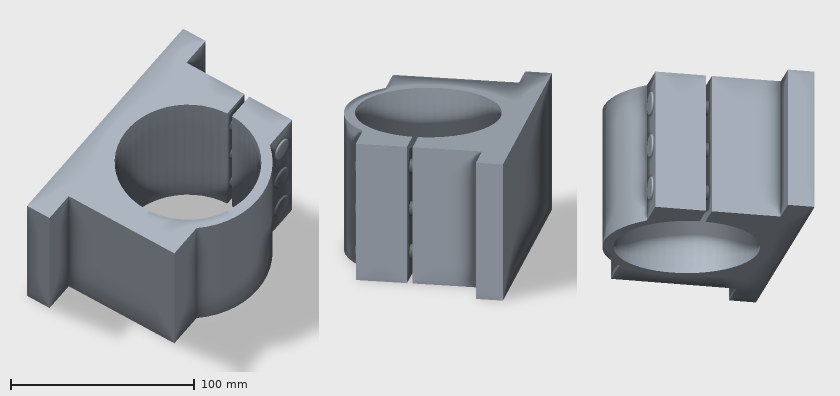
import cadquery as cq

plate_length = 150
plate_thickness = 15
height = 79.0

block_width = 113.1
block_end_x = 85.0
bore_diameter = 80.1
ring_wall = 6.2
bore_radius = bore_diameter / 2
ring_radius = bore_radius + ring_wall
bore_x = plate_thickness + bore_radius

slot_width = 3.2

screw_count = 3
screw_pitch = 24.8
screw_diameter = 8.1
screw_tip_x = 40.0
screw_y = 45.9
head_diameter = 13.0
head_height = 1.0
head_rounding = 0.9
screw_heights = [
    height / 2 + (index - (screw_count - 1) / 2) * screw_pitch
    for index in range(screw_count)
]


def make_shank(z):
    """Round shank from the blind tip to the outer face of the block."""
    return (
        cq.Workplane("YZ", origin=(screw_tip_x, screw_y, z))
        .circle(screw_diameter / 2)
        .extrude(block_end_x - screw_tip_x)
    )


def make_screw(z):
    """Screw with a low, rounded-over round head seated on the outer face of the block."""
    head = (
        cq.Workplane("YZ", origin=(block_end_x, screw_y, z))
        .circle(head_diameter / 2)
        .extrude(head_height)
        .faces(">X")
        .edges()
        .fillet(head_rounding)
    )
    return make_shank(z).union(head)


def make_clamp():
    """Plate, block and ring in one piece, bored, slotted and drilled."""
    plate = cq.Workplane("XY").box(
        plate_thickness, plate_length, height, centered=(False, True, False)
    )
    block = cq.Workplane("XY").box(
        block_end_x, block_width, height, centered=(False, True, False)
    )
    ring = cq.Workplane("XY").center(bore_x, 0).circle(ring_radius).extrude(height)
    bore = cq.Workplane("XY").center(bore_x, 0).circle(bore_radius).extrude(height)
    slot = (
        cq.Workplane("XY")
        .center(bore_x, 0)
        .box(slot_width, block_width / 2, height, centered=(True, False, False))
    )
    body = plate.union(block).union(ring).cut(bore).cut(slot)
    for z in screw_heights:
        body = body.cut(make_shank(z))
    return body


clamp = make_clamp()
screws = [make_screw(z) for z in screw_heights]

result = cq.Compound.makeCompound([clamp.val(), *[screw.val() for screw in screws]])